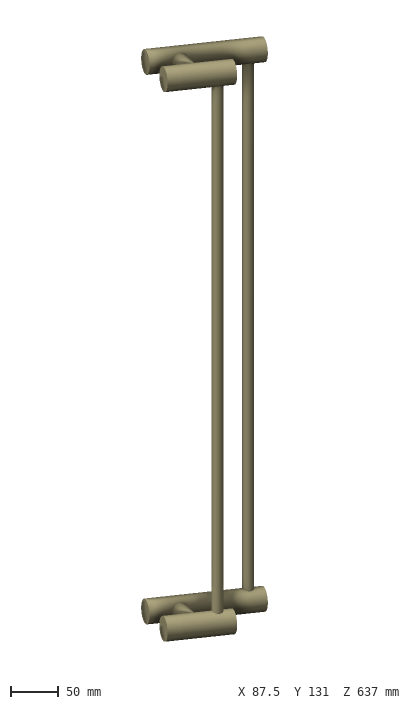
import cadquery as cq


height = 637.0
arm_diameter = 27.5
arm_spacing = 60.0
long_arm_length = 131.0
arm_step = 54.0
cap_length = 16.0
rod_diameter = 13.0
rod_setback = 17.0
cross_diameter = 19.0
cross_setback = 35.0

arm_offset_x = arm_spacing / 2
bracket_offset_z = (height - arm_diameter) / 2
arms = [
    (-arm_offset_x, long_arm_length),
    (arm_offset_x, long_arm_length - arm_step),
]


def rod_between(start, end, diameter):
    """Solid round bar from one axis point to another."""
    axis = cq.Vector(*end) - cq.Vector(*start)
    bar = cq.Solid.makeCylinder(diameter / 2, axis.Length, cq.Vector(*start), axis)
    return cq.Workplane(obj=bar)


def make_arm(x, z, length):
    """Round arm along Y, with its cap kept as a separate band at the front."""
    cap = rod_between((x, 0, z), (x, cap_length, z), arm_diameter)
    body = rod_between((x, cap_length, z), (x, length, z), arm_diameter)
    return cap.union(body, clean=False)


def make_bracket(z):
    """Both arms at one height, joined by the cross tube between their axes."""
    bracket = rod_between(
        (-arm_offset_x, cross_setback, z),
        (arm_offset_x, cross_setback, z),
        cross_diameter,
    )
    for x, length in arms:
        bracket = bracket.union(make_arm(x, z, length), clean=False)
    return bracket


def make_upright(x, arm_length):
    """Upright rod whose ends are buried on the axes of the two arms."""
    y = arm_length - rod_setback
    return rod_between((x, y, -bracket_offset_z), (x, y, bracket_offset_z), rod_diameter)


result = make_bracket(-bracket_offset_z).union(make_bracket(bracket_offset_z), clean=False)
for arm_x, arm_length in arms:
    result = result.union(make_upright(arm_x, arm_length), clean=False)